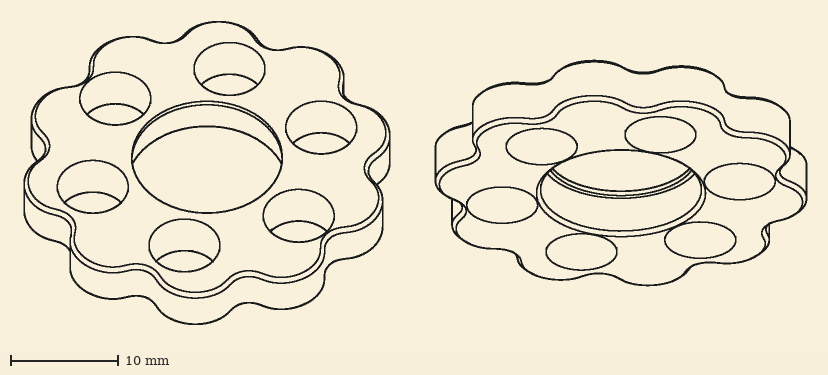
import cadquery as cq
import math

thickness = 4.4
outer_diameter = 34.78
edge_chamfer = 0.38

lobe_count = 10
pin_count = lobe_count + 1
eccentricity = 1.15
pin_radius = 1.67
pin_circle_radius = outer_diameter / 2 + pin_radius - eccentricity
points_per_lobe = 24

bore_diameter = 14.0
lip_thickness = 0.5
seat_diameter = 15.0
seat_chamfer = 0.38

output_hole_count = 6
output_hole_diameter = 6.6
output_circle_radius = 11.27


def outline_point(angle, inset):
    """Point of the cycloidal outline moved inward by inset, with a lobe peak on +Y."""
    roller_radius = pin_radius + inset
    contact_angle = math.atan2(
        -math.sin(lobe_count * angle),
        pin_circle_radius / (eccentricity * pin_count) - math.cos(lobe_count * angle),
    )
    normal_angle = angle + contact_angle
    orbit_angle = pin_count * angle
    x = (
        pin_circle_radius * math.cos(angle)
        - roller_radius * math.cos(normal_angle)
        - eccentricity * math.cos(orbit_angle)
    )
    y = (
        pin_circle_radius * math.sin(angle)
        - roller_radius * math.sin(normal_angle)
        - eccentricity * math.sin(orbit_angle)
    )
    return (x, y)


def outline_wire(inset, height):
    """Closed smooth outline at the given height."""
    point_count = lobe_count * points_per_lobe
    angles = [2 * math.pi * i / point_count for i in range(point_count)]
    points = [cq.Vector(*outline_point(angle, inset), height) for angle in angles]
    return cq.Wire.assembleEdges([cq.Edge.makeSpline(points, periodic=True)])


def make_layer(bottom_inset, bottom_height, top_inset, top_height):
    """Solid slice of the disc between two outlines."""
    bottom = outline_wire(bottom_inset, bottom_height)
    top = outline_wire(top_inset, top_height)
    return cq.Workplane(cq.Solid.makeLoft([bottom, top], True))


def make_disc():
    """Lobed plate with both outer rims chamfered."""
    upper_rim = thickness - edge_chamfer
    lower_chamfer = make_layer(edge_chamfer, 0, 0, edge_chamfer)
    straight_side = make_layer(0, edge_chamfer, 0, upper_rim)
    upper_chamfer = make_layer(0, upper_rim, edge_chamfer, thickness)
    return lower_chamfer.union(straight_side).union(upper_chamfer)


def make_bearing_seat():
    """Cutter for the stepped bore, widened by a chamfer at the bottom face."""
    bore_radius = bore_diameter / 2
    seat_radius = seat_diameter / 2
    shoulder_height = thickness - lip_thickness
    half_section = [
        (0, 0),
        (seat_radius + seat_chamfer, 0),
        (seat_radius, seat_chamfer),
        (seat_radius, shoulder_height),
        (bore_radius, shoulder_height),
        (bore_radius, thickness),
        (0, thickness),
    ]
    return cq.Workplane("XZ").polyline(half_section).close().revolve(360, (0, 0), (0, 1))


def make_output_holes():
    """Cutters for the ring of through holes, the first one on +X."""
    return (
        cq.Workplane("XY")
        .polarArray(output_circle_radius, 0, 360, output_hole_count)
        .circle(output_hole_diameter / 2)
        .extrude(thickness)
    )


result = make_disc().cut(make_bearing_seat()).cut(make_output_holes())